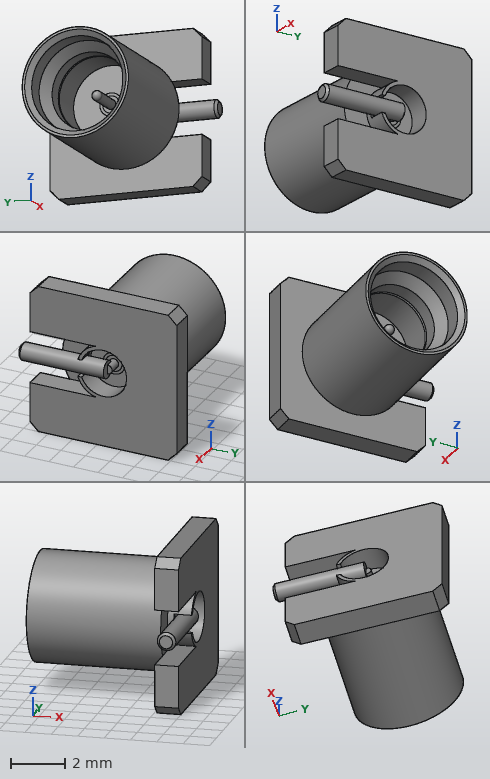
import cadquery as cq

total_length = 6.0
flange_size = 6.0
flange_thickness = 0.9
corner_chamfer = 0.35
flange_front = total_length - flange_thickness

barrel_radius = 2.1
mouth_radius = 2.0
entry_radius = 1.8
bore_radius = 1.475
mouth_depth = mouth_radius - entry_radius
taper_start = 0.95
taper_end = 1.43
detent_start = 2.05
detent_width = 0.11
detent_depth = 0.06
socket_depth = 3.6

slot_width = 2.1
core_radius = 1.1

tail_radius = 0.35
tail_chamfer = 0.1
tail_overhang = 0.5
tail_tip_y = -flange_size / 2 - tail_overhang
tail_x = total_length - tail_radius
needle_radius = 0.19
needle_length = 1.6
shank_radius = 0.325

passage_width = 2 * tail_radius
passage_depth = 0.66

bead_radius = 0.44
rear_cavity_radius = 0.95
rear_cavity_front = flange_front


def rod(radius, start, end):
    """Solid cylinder along the X axis between two stations."""
    return cq.Workplane("YZ", origin=(start, 0, 0)).circle(radius).extrude(end - start)


def rear_channel(depth, width):
    """Block running from the X axis out past the -Y side, open at the rear."""
    return (
        cq.Workplane("XY")
        .box(depth, flange_size, width, centered=(False, False, True))
        .translate((total_length - depth, -flange_size, 0))
    )


def make_tail():
    """Tail pin from the X axis to its chamfered tip on the -Y side."""
    return (
        cq.Workplane("XZ", origin=(tail_x, 0, 0))
        .circle(tail_radius)
        .extrude(-tail_tip_y)
        .faces("<Y")
        .chamfer(tail_chamfer)
    )


def make_shell():
    """Barrel and chamfered flange, slotted down to the round core."""
    flange = (
        cq.Workplane("YZ", origin=(flange_front, 0, 0))
        .rect(flange_size, flange_size)
        .extrude(flange_thickness)
        .edges("|X")
        .chamfer(corner_chamfer)
    )
    slot = rear_channel(flange_thickness, slot_width)
    core = rod(core_radius, flange_front, total_length)
    return rod(barrel_radius, 0, flange_front).union(flange.cut(slot.cut(core)))


def make_socket():
    """Socket space: chamfered mouth, wide entry, taper and bore with a saw-tooth detent groove."""
    return (
        cq.Workplane("XY")
        .lineTo(0, mouth_radius)
        .lineTo(mouth_depth, entry_radius)
        .lineTo(taper_start, entry_radius)
        .lineTo(taper_end, bore_radius)
        .lineTo(detent_start, bore_radius)
        .lineTo(detent_start, bore_radius + detent_depth)
        .lineTo(detent_start + detent_width, bore_radius)
        .lineTo(socket_depth, bore_radius)
        .lineTo(socket_depth, 0)
        .close()
        .revolve(360, (0, 0, 0), (1, 0, 0))
    )


def make_housing():
    """Shell with the socket, bead hole, rear cavity and tail passage removed."""
    bead_hole = rod(bead_radius, socket_depth, rear_cavity_front)
    rear_cavity = rod(rear_cavity_radius, rear_cavity_front, total_length)
    passage = rear_channel(passage_depth, passage_width)
    return (
        make_shell()
        .cut(make_socket())
        .cut(bead_hole)
        .cut(rear_cavity)
        .cut(passage)
        .cut(make_tail())
    )


def make_insulator():
    """Ring filling the gap between the housing and the contact shank."""
    bead = rod(bead_radius, socket_depth, rear_cavity_front)
    return bead.cut(rod(shank_radius, socket_depth, rear_cavity_front))


def make_contact():
    """Round-nosed needle, thick shank inside the bead, and tail pin crossing the needle's rear end."""
    nose_centre = socket_depth - needle_length + needle_radius
    nose = cq.Workplane("XY").sphere(needle_radius).translate((nose_centre, 0, 0))
    needle = rod(needle_radius, nose_centre, tail_x)
    shank = rod(shank_radius, socket_depth, rear_cavity_front)
    return nose.union(needle).union(shank).union(make_tail())


housing = make_housing()
insulator = make_insulator()
contact = make_contact()
result = cq.Compound.makeCompound([housing.val(), insulator.val(), contact.val()])